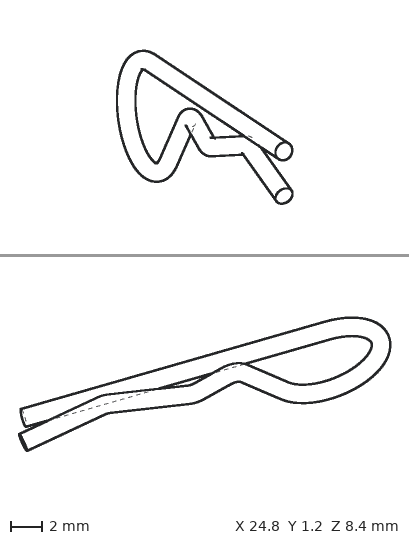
import cadquery as cq
import math


overall_length = 24.8
overall_height = 8.4
wire_diameter = 1.2
wire_radius = wire_diameter / 2

loop_radius = (overall_height - wire_diameter) / 2
straight_leg_end_x = 20.38

small_bend_radius = 0.95
grip_crest = (6.35, 1.7)
valley = (9.02, 0.62)
contact_crest = (14.9, 2.38)
tail_slope = math.radians(18.0)

clip_front_x = overall_length - loop_radius - wire_radius
tail_end_x = clip_front_x - wire_radius * math.sin(tail_slope)

COUNTERCLOCKWISE = 1
CLOCKWISE = -1


def bend_at(extreme_point, turn):
    """Bend (centre x, centre z, radius, turn) whose centreline peaks or dips at extreme_point."""
    x, z = extreme_point
    return (x, z + turn * small_bend_radius, small_bend_radius, turn)


def heading_between(bend, next_bend):
    """Heading of the straight wire joining two bends that turn opposite ways."""
    x1, z1, radius1, turn = bend
    x2, z2, radius2, _ = next_bend
    spacing = math.hypot(x2 - x1, z2 - z1)
    return math.atan2(z2 - z1, x2 - x1) + turn * math.asin((radius1 + radius2) / spacing)


def point_on(bend, heading):
    """Centreline point where the wire travels around the bend in the given heading."""
    x, z, radius, turn = bend
    return (x + turn * radius * math.sin(heading), z - turn * radius * math.cos(heading))


bends = [
    (0, 0, loop_radius, COUNTERCLOCKWISE),
    bend_at(grip_crest, CLOCKWISE),
    bend_at(valley, COUNTERCLOCKWISE),
    bend_at(contact_crest, CLOCKWISE),
]

headings = [-math.pi]
headings += [heading_between(bend, next_bend) for bend, next_bend in zip(bends, bends[1:])]
headings.append(-tail_slope)

centreline = cq.Workplane("XZ").moveTo(straight_leg_end_x, loop_radius)
for bend, heading_in, heading_out in zip(bends, headings, headings[1:]):
    heading_middle = (heading_in + heading_out) / 2
    centreline = centreline.lineTo(*point_on(bend, heading_in))
    centreline = centreline.threePointArc(point_on(bend, heading_middle), point_on(bend, heading_out))

tail_start_x, tail_start_z = point_on(bends[-1], -tail_slope)
tail_drop = (tail_end_x - tail_start_x) * math.tan(tail_slope)
centreline = centreline.lineTo(tail_end_x, tail_start_z - tail_drop)

wire_section = cq.Workplane("YZ", origin=(straight_leg_end_x, 0, loop_radius)).circle(wire_radius)
result = wire_section.sweep(centreline)